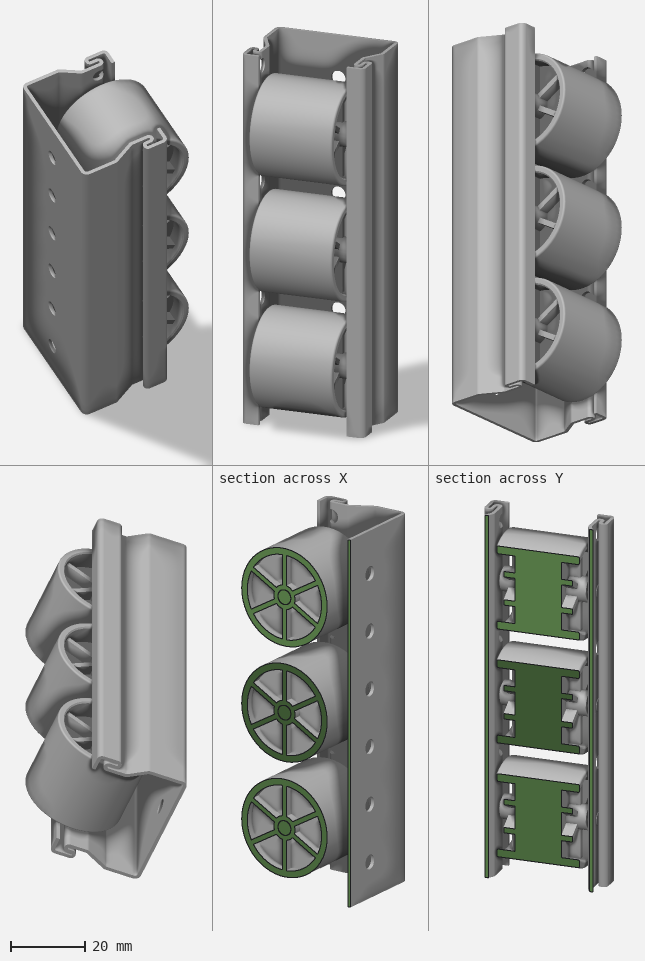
import cadquery as cq
import math


rail_length = 105.0
rail_width = 35.7
rail_base_y = -17.8
lip_outer_y = 8.2
lip_tip_x = 12.8
sheet = 1.0
bend_radius = 1.0
right_base_radius = 1.3
hook_bend_radius = 0.7
turn_radius = 0.8
hook_bottom_y = 1.2
crown_left_y = 5.6
crown_right_y = 5.0
web_foot_y = -1.4
shoulder_left_y = -6.6
shoulder_right_y = -7.9

hole_pitch = 16.5
axis_x = -0.3
middle_z = 51.6
base_hole_count = 6
web_hole_steps = range(-2, 4)
roller_steps = (-2, 0, 2)
base_hole_diameter = 4.2
axle_diameter = 4.0
axle_left_x = -15.1
axle_length = 29.8

roller_diameter = 28.0
roller_width = 24.0
roller_edge_radius = 0.5
recess_diameter = 24.0
recess_depth = 5.2
recess_edge_chamfer = 0.37
rib_depth = 2.1
rib_width = 1.5
rib_count = 6
hub_diameter = 7.0
hub_overhang = 0.4

overall_depth = rail_width
axis_y = rail_base_y + overall_depth - roller_diameter / 2

side_x = (rail_width - sheet) / 2
hook_x = side_x - 2 * turn_radius
web_x = hook_x - 2 * turn_radius
lip_y = lip_outer_y - sheet / 2
base_y = rail_base_y + sheet / 2


def rounded_polyline(points, radii):
    """A wire through the points whose inner corners are rounded by the radii, in order."""
    wire = cq.Wire.makePolygon([cq.Vector(*point) for point in points])
    for point, radius in zip(points[1:-1], radii):
        corner = min(wire.Vertices(), key=lambda v: math.dist((v.X, v.Y), point))
        wire = wire.fillet(radius, [corner])
    return wire


def hook_path(side, crown_y):
    """Lip, side strip and S-shaped hook of one side (-1 left, +1 right), up to the web."""
    turn_y = crown_center_y(crown_y)
    bottom_y = hook_bottom_y + sheet / 2
    lip_and_hook = rounded_polyline(
        [
            (side * lip_tip_x, lip_y),
            (side * side_x, lip_y),
            (side * side_x, bottom_y),
            (side * hook_x, bottom_y),
            (side * hook_x, turn_y),
        ],
        [bend_radius, hook_bend_radius, hook_bend_radius],
    )
    crown = cq.Edge.makeThreePointArc(
        cq.Vector(side * hook_x, turn_y),
        cq.Vector(side * (hook_x + web_x) / 2, turn_y + turn_radius),
        cq.Vector(side * web_x, turn_y),
    )
    return [*lip_and_hook.Edges(), crown]


def crown_center_y(crown_y):
    """Centre of the half-round crown that joins a web to its hook wall."""
    return crown_y - sheet / 2 - turn_radius


def trough_path():
    """Left web, left wall, base, right wall and right web."""
    points = [
        (-web_x, crown_center_y(crown_left_y)),
        (-web_x, web_foot_y),
        (-side_x, shoulder_left_y),
        (-side_x, base_y),
        (side_x, base_y),
        (side_x, shoulder_right_y),
        (web_x, web_foot_y),
        (web_x, crown_center_y(crown_right_y)),
    ]
    left_radii = [bend_radius] * 3
    right_radii = [right_base_radius, bend_radius, bend_radius]
    return rounded_polyline(points, left_radii + right_radii).Edges()


def make_rail():
    left_hook = hook_path(-1, crown_left_y)
    right_hook = hook_path(1, crown_right_y)
    path = cq.Wire.assembleEdges(left_hook + trough_path() + right_hook[::-1])

    strip = cq.Workplane("YZ", origin=(-lip_tip_x, lip_y, rail_length / 2)).rect(sheet, rail_length)
    rail = strip.sweep(cq.Workplane(path))
    return rail.cut(base_holes()).cut(web_holes())


def base_holes():
    first_z = middle_z - (base_hole_count - 1) / 2 * hole_pitch
    centres = [(axis_x, first_z + i * hole_pitch) for i in range(base_hole_count)]
    base_plane = cq.Workplane("XZ", origin=(0, base_y, 0)).pushPoints(centres)
    return base_plane.circle(base_hole_diameter / 2).extrude(sheet, both=True)


def web_holes():
    """Holes through both webs and the crowns of their hooks, ending at the hook walls."""
    reach = hook_x - sheet / 2
    centres = [(axis_y, middle_z + step * hole_pitch) for step in web_hole_steps]
    middle_plane = cq.Workplane("YZ").pushPoints(centres)
    return middle_plane.circle(axle_diameter / 2).extrude(reach, both=True)


def make_roller(z):
    """A roller with ribbed recesses in both ends and a hub bored for the axle."""
    half_width = roller_width / 2
    roller = (
        cq.Workplane("YZ", origin=(-half_width, 0, 0))
        .circle(roller_diameter / 2)
        .extrude(roller_width)
        .edges()
        .fillet(roller_edge_radius)
    )
    for side in (-1, 1):
        roller = roller.cut(end_recess(side))
    hub = cq.Workplane("YZ").circle(hub_diameter / 2).extrude(half_width + hub_overhang, both=True)
    bore = cq.Workplane("YZ").circle(axle_diameter / 2).extrude(roller_width, both=True)
    return roller.union(hub).cut(bore).translate((axis_x, axis_y, z))


def end_recess(side):
    """The hollow of one roller end: a chamfered pocket minus its radial ribs."""
    end_x = side * roller_width / 2
    chamfer_end_x = end_x - side * recess_edge_chamfer
    floor = cq.Workplane("YZ", origin=(end_x - side * recess_depth, 0, 0))
    radius = recess_diameter / 2
    pocket = floor.circle(radius).extrude(side * recess_depth)
    mouth = (
        cq.Workplane("XY")
        .moveTo(end_x, 0)
        .lineTo(end_x, radius + recess_edge_chamfer)
        .lineTo(chamfer_end_x, radius)
        .lineTo(chamfer_end_x, 0)
        .close()
        .revolve(360, (0, 0, 0), (1, 0, 0))
    )
    ribs = (
        floor.polarArray(radius / 2, 90, 360, rib_count)
        .rect(radius + rib_width, rib_width)
        .extrude(side * (recess_depth - rib_depth))
    )
    return pocket.union(mouth).cut(ribs)


def make_axle(z):
    left_end = (axle_left_x, axis_y, z)
    return cq.Workplane("YZ", origin=left_end).circle(axle_diameter / 2).extrude(axle_length)


rail = make_rail()
roller_heights = [middle_z + step * hole_pitch for step in roller_steps]
rollers = [make_roller(z) for z in roller_heights]
axles = [make_axle(z) for z in roller_heights]

result = cq.Compound.makeCompound(
    [rail.val(), *[roller.val() for roller in rollers], *[axle.val() for axle in axles]]
)